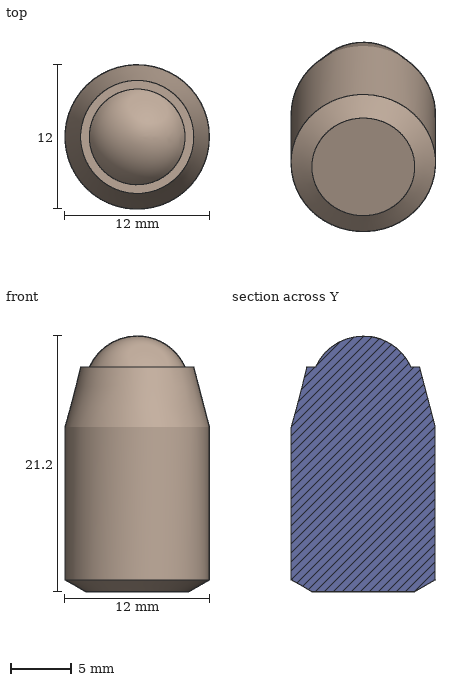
import cadquery as cq

total_height = 21.25
body_diameter = 12.0
foot_radius = 4.27
foot_height = 1.0
shoulder_height = 13.68
rim_height = 18.68
rim_radius = 4.7
ball_radius = 4.35

body_radius = body_diameter / 2
ball_center_height = total_height - ball_radius

body = (
    cq.Workplane("XZ")
    .lineTo(foot_radius, 0)
    .lineTo(body_radius, foot_height)
    .lineTo(body_radius, shoulder_height)
    .lineTo(rim_radius, rim_height)
    .lineTo(0, rim_height)
    .close()
    .revolve(360, (0, 0, 0), (0, 1, 0))
)

ball = cq.Workplane("XY").sphere(ball_radius).translate((0, 0, ball_center_height))

result = body.union(ball)